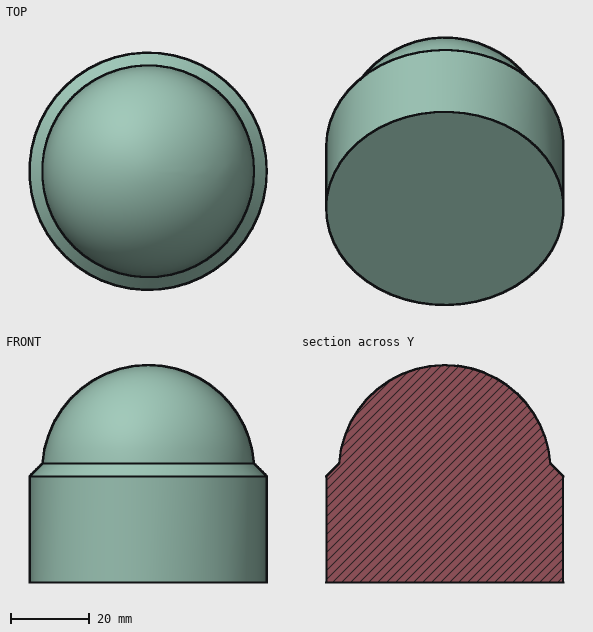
import cadquery as cq
import math

skirt_diameter = 60.5
total_height = 55.5
shoulder_size = 3.25
dome_base_height = 30.4

skirt_radius = skirt_diameter / 2
skirt_height = dome_base_height - shoulder_size
dome_base_radius = skirt_radius - shoulder_size
dome_rise = total_height - dome_base_height

dome_radius = (dome_base_radius**2 + dome_rise**2) / (2 * dome_rise)
dome_center_height = total_height - dome_radius
dome_mid_offset = dome_radius * math.sqrt(0.5)

result = (
    cq.Workplane("XZ")
    .lineTo(skirt_radius, 0)
    .lineTo(skirt_radius, skirt_height)
    .lineTo(dome_base_radius, dome_base_height)
    .threePointArc(
        (dome_mid_offset, dome_center_height + dome_mid_offset),
        (0, total_height),
    )
    .close()
    .revolve(360, (0, 0, 0), (0, 1, 0))
)